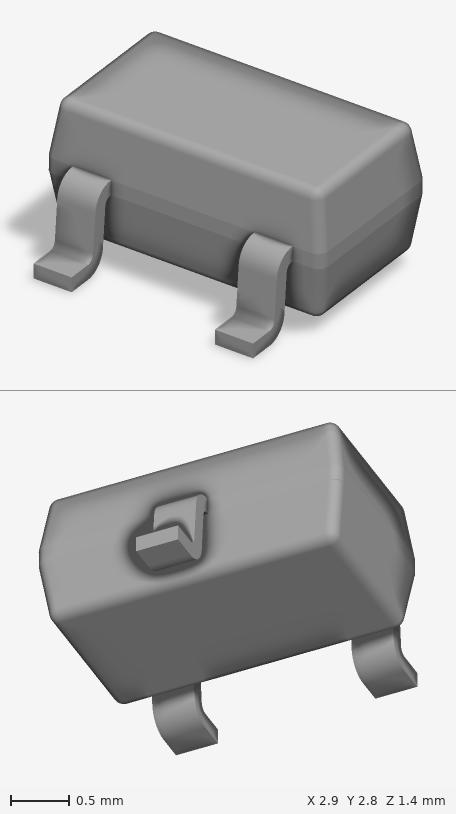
import cadquery as cq
import math


BODY_LENGTH = 2.9
BODY_WIDTH = 1.6
LEAD_SPAN = 2.8
TOTAL_HEIGHT = 1.4

STANDOFF = 0.1
DRAFT_ANGLE = 8.0
EDGE_RADIUS = 0.1

LEAD_WIDTH = 0.4
LEAD_THICKNESS = 0.15
LEAD_TOP = 0.83
SIDE_LEAD_X = 0.95
FOOT_FLAT = 0.25
INNER_BEND_RADIUS = 0.075
LEG_LEAN = 5.0
LEAD_EMBED = 0.2

MARK_DIAMETER = 0.25
MARK_X = -0.825
MARK_Y = -0.35
MARK_DEPTH = 0.05

BAND_TOP = LEAD_TOP
BAND_BOTTOM = BAND_TOP - LEAD_THICKNESS


def body_section(start, height, draft=0.0):
    """Extrude the body rectangle from one level, narrowing by the draft angle."""
    rectangle = cq.Workplane("XY").workplane(offset=start).rect(BODY_LENGTH, BODY_WIDTH)
    return rectangle.extrude(height, taper=draft)


def make_body():
    """Band with a drafted half above and below, all edges rounded except the band outline."""
    upper = body_section(BAND_TOP, TOTAL_HEIGHT - BAND_TOP, DRAFT_ANGLE)
    lower = body_section(BAND_BOTTOM, STANDOFF - BAND_BOTTOM, DRAFT_ANGLE)
    body = body_section(BAND_BOTTOM, LEAD_THICKNESS).union(upper).union(lower)

    end_edges = body.faces("<Z or >Z").edges()
    corner_edges = body.edges("not #Z")
    return end_edges.add(corner_edges).fillet(EDGE_RADIUS)


def make_lead():
    """Lead leaving the -Y side of the body, centred on X = 0."""
    outer_radius = INNER_BEND_RADIUS + LEAD_THICKNESS
    lean = math.radians(LEG_LEAN)
    toe_y = -LEAD_SPAN / 2
    root_y = -BODY_WIDTH / 2 + LEAD_EMBED

    low_y = toe_y + FOOT_FLAT
    low_z = outer_radius
    high_z = LEAD_TOP - outer_radius
    bend_radii = outer_radius + INNER_BEND_RADIUS
    high_y = low_y + (bend_radii + (high_z - low_z) * math.sin(lean)) / math.cos(lean)

    def low_point(radius, angle):
        return (low_y + radius * math.sin(angle), low_z - radius * math.cos(angle))

    def high_point(radius, angle):
        return (high_y - radius * math.sin(angle), high_z + radius * math.cos(angle))

    turn = math.pi / 2 - lean
    profile = (
        cq.Workplane("YZ", origin=(-LEAD_WIDTH / 2, 0, 0))
        .moveTo(toe_y, 0)
        .lineTo(*low_point(outer_radius, 0))
        .threePointArc(low_point(outer_radius, turn / 2), low_point(outer_radius, turn))
        .lineTo(*high_point(INNER_BEND_RADIUS, turn))
        .threePointArc(high_point(INNER_BEND_RADIUS, turn / 2), high_point(INNER_BEND_RADIUS, 0))
        .lineTo(root_y, BAND_BOTTOM)
        .lineTo(root_y, BAND_TOP)
        .lineTo(*high_point(outer_radius, 0))
        .threePointArc(high_point(outer_radius, turn / 2), high_point(outer_radius, turn))
        .lineTo(*low_point(INNER_BEND_RADIUS, turn))
        .threePointArc(low_point(INNER_BEND_RADIUS, turn / 2), low_point(INNER_BEND_RADIUS, 0))
        .lineTo(toe_y, LEAD_THICKNESS)
        .close()
    )
    return profile.extrude(LEAD_WIDTH)


def make_mark():
    """Disc sunk into the body with its upper face level with the top of the body."""
    level = cq.Workplane("XY", origin=(MARK_X, MARK_Y, TOTAL_HEIGHT - MARK_DEPTH))
    return level.circle(MARK_DIAMETER / 2).extrude(MARK_DEPTH)


package = make_body()
lead = make_lead()
for lead_x in (-SIDE_LEAD_X, SIDE_LEAD_X):
    package = package.union(lead.translate((lead_x, 0, 0)))
package = package.union(lead.rotate((0, 0, 0), (0, 0, 1), 180))

result = package.union(make_mark(), clean=False)